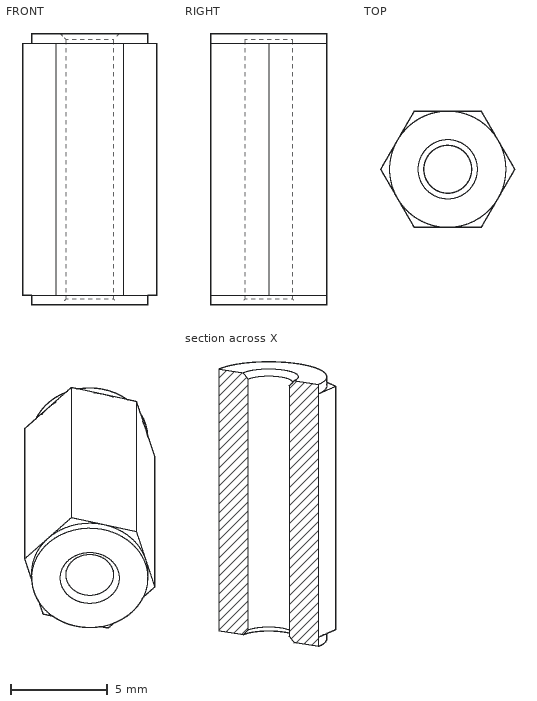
import cadquery as cq
import math

total_length = 14.0
side_count = 6
across_flats = 6.0
collar_length = 0.5
bore_diameter = 2.46
bore_chamfer = 0.3

hex_length = total_length - 2 * collar_length
across_corners = across_flats / math.cos(math.pi / side_count)
collar_diameter = across_flats
bore_radius = bore_diameter / 2
mouth_radius = bore_radius + bore_chamfer


def make_body():
    """Hexagonal spacer, two corners on the X axis, with a round collar at each end."""
    core = cq.Workplane("XY").circle(collar_diameter / 2).extrude(total_length)
    hexagon = (
        cq.Workplane("XY")
        .workplane(offset=collar_length)
        .polygon(side_count, across_corners)
        .extrude(hex_length)
    )
    return core.union(hexagon)


def make_bore():
    """Through bore, chamfered at both mouths, as a half profile revolved about Z."""
    half_profile = [
        (0, 0),
        (mouth_radius, 0),
        (bore_radius, bore_chamfer),
        (bore_radius, total_length - bore_chamfer),
        (mouth_radius, total_length),
        (0, total_length),
    ]
    return cq.Workplane("XZ").polyline(half_profile).close().revolve(360, (0, 0, 0), (0, 1, 0))


result = make_body().cut(make_bore())